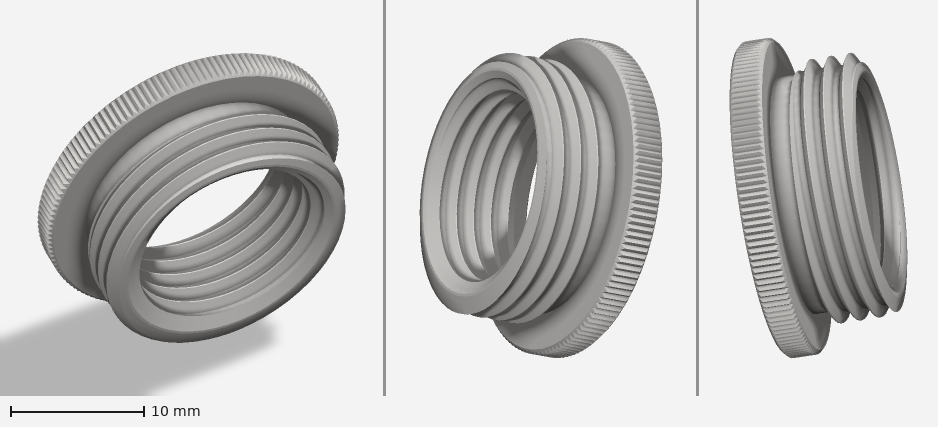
import cadquery as cq
import math

overall_diameter = 24.05
overall_length = 9.0

flange_thickness = 2.5
flange_chamfer = 0.31
knurl_count = 140
knurl_depth = 0.26

neck_diameter = 18.02
thread_start = 4.15

pitch = 1.5
flank_angle = 30.0
crest_width = 0.1
ridge_phase = 0.132
outer_crest_diameter = 20.0
outer_root_diameter = 18.38
inner_crest_diameter = 14.44
inner_root_diameter = 15.98
spare_turns = 1
root_overlap = 0.1

bevel_length = 0.34
bevel_end_diameter = 17.42
countersink_diameter = 17.0
countersink_half_angle = 60.0

AXIS_ALONG_X = cq.Location(cq.Plane.named("YZ"))


def revolve_about_x(points):
    """Solid of revolution from (x, radius) points."""
    return cq.Workplane("XY").polyline(points).close().revolve(360, (0, 0, 0), (1, 0, 0))


def cylinder(start, end, diameter):
    return cq.Workplane("YZ", origin=(start, 0, 0)).circle(diameter / 2).extrude(end - start)


def thread_ridge(root_diameter, crest_diameter, thread_from):
    """Right-handed helical ridge standing outwards or inwards from its root.

    It runs past both thread_from and the free end of the part, so it has to be trimmed.
    """
    first_turn = math.floor(thread_from / pitch) - spare_turns
    last_turn = math.ceil(overall_length / pitch) + spare_turns
    crest_radius = crest_diameter / 2
    outward = math.copysign(1, crest_diameter - root_diameter)
    foot_radius = root_diameter / 2 - outward * root_overlap
    height = abs(crest_radius - foot_radius)
    crest_half = crest_width / 2
    foot_half = crest_half + height * math.tan(math.radians(flank_angle))
    start = ridge_phase + first_turn * pitch
    helix = cq.Wire.makeHelix(pitch, (last_turn - first_turn) * pitch, crest_radius, cq.Vector(0, 0, start))
    section = [
        (foot_radius, start - foot_half),
        (crest_radius, start - crest_half),
        (crest_radius, start + crest_half),
        (foot_radius, start + foot_half),
    ]
    ridge = cq.Workplane("XZ").polyline(section).close().sweep(cq.Workplane(helix), isFrenet=True)
    return cq.Workplane(ridge.val().moved(AXIS_ALONG_X))


def knurled_flange():
    """Chamfered disc cut to a ring of sharp teeth, with tooth valleys on the Y and Z axes."""
    half_tooth = math.pi / knurl_count
    tip_radius = overall_diameter / 2 / math.cos(half_tooth)
    valley_radius = tip_radius - knurl_depth
    outline = []
    for step in range(2 * knurl_count):
        radius = valley_radius if step % 2 == 0 else tip_radius
        angle = step * half_tooth
        outline.append((radius * math.cos(angle), radius * math.sin(angle)))
    toothed_disc = cq.Workplane("YZ").polyline(outline).close().extrude(flange_thickness)
    face_radius = tip_radius - flange_chamfer
    blank = revolve_about_x([
        (0, 0),
        (0, face_radius),
        (flange_chamfer, tip_radius),
        (flange_thickness - flange_chamfer, tip_radius),
        (flange_thickness, face_radius),
        (flange_thickness, 0),
    ])
    return toothed_disc.intersect(blank)


def outer_thread():
    """Threaded stub, cut square at the neck and bevelled at the free end."""
    core = cylinder(thread_start, overall_length, outer_root_diameter)
    ridge = thread_ridge(outer_root_diameter, outer_crest_diameter, thread_start)
    crest_radius = outer_crest_diameter / 2
    bevel_end_radius = bevel_end_diameter / 2
    bevel_slope = bevel_length / (crest_radius - bevel_end_radius)
    clear_radius = overall_diameter / 2
    bevel_start = overall_length - bevel_slope * (clear_radius - bevel_end_radius)
    envelope = revolve_about_x([
        (thread_start, 0),
        (thread_start, clear_radius),
        (bevel_start, clear_radius),
        (overall_length, bevel_end_radius),
        (overall_length, 0),
    ])
    return core.intersect(envelope).union(ridge.intersect(envelope))


def threaded_bore():
    """Space removed by the bore: thread roots less the ridges, plus a countersink at each end."""
    bore = cylinder(0, overall_length, inner_root_diameter)
    ridge = thread_ridge(inner_root_diameter, inner_crest_diameter, 0)
    bore = bore.cut(ridge.intersect(cylinder(0, overall_length, neck_diameter)))
    mouth_radius = countersink_diameter / 2
    depth = mouth_radius / math.tan(math.radians(countersink_half_angle))
    near_countersink = revolve_about_x([(0, 0), (0, mouth_radius), (depth, 0)])
    far_countersink = near_countersink.mirror("YZ").translate((overall_length, 0, 0))
    return bore.union(near_countersink).union(far_countersink)


neck = cylinder(0, thread_start, neck_diameter)
body = knurled_flange().union(neck).union(outer_thread())
result = body.cut(threaded_bore())